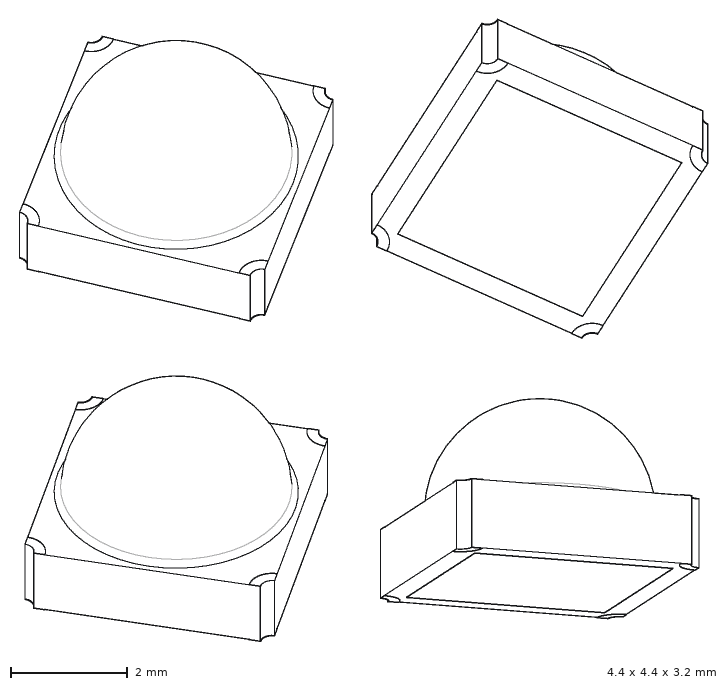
import cadquery as cq
import math

side = 4.4
base_thickness = 1.2
dome_radius = 1.99
dome_fillet = 0.11
notch_radius = 0.2
flange_radius = 0.4
plating_thickness = 0.01

base_bottom = plating_thickness
base_top = base_bottom + base_thickness
plating_height = base_thickness + 2 * plating_thickness
base_notch_radius = notch_radius + plating_thickness
pad_side = side - 2 * flange_radius
half_side = side / 2
corners = [(half_side * sx, half_side * sy) for sx in (-1, 1) for sy in (-1, 1)]


def make_base():
    """Square block with a quarter-round notch down each vertical edge, sized for the plating."""
    block = cq.Workplane("XY", origin=(0, 0, base_bottom)).rect(side, side).extrude(base_thickness)
    notches = (
        cq.Workplane("XY", origin=(0, 0, base_bottom))
        .pushPoints(corners)
        .circle(base_notch_radius)
        .extrude(base_thickness)
    )
    return block.cut(notches)


def make_corner_plating(corner):
    """Thin metal lining of one corner notch, flanged onto the top and underside of the base."""
    profile = [
        (notch_radius, 0),
        (flange_radius, 0),
        (flange_radius, base_bottom),
        (base_notch_radius, base_bottom),
        (base_notch_radius, base_top),
        (flange_radius, base_top),
        (flange_radius, plating_height),
        (notch_radius, plating_height),
    ]
    flanged_tube = (
        cq.Workplane("XZ")
        .polyline(profile)
        .close()
        .revolve(360, (0, 0), (0, 1))
        .translate((*corner, 0))
    )
    footprint = cq.Workplane("XY").rect(side, side).extrude(plating_height)
    return flanged_tube.intersect(footprint)


def make_bottom_pad():
    """Thin square pad on the underside of the base, level with the lower flanges."""
    return cq.Workplane("XY").rect(pad_side, pad_side).extrude(base_bottom)


def make_dome():
    """Hemisphere whose foot flares onto the base through a concave fillet."""
    centre_distance = dome_radius + dome_fillet
    foot_radius = math.sqrt(centre_distance**2 - dome_fillet**2)

    tangent_angle = math.asin(dome_fillet / centre_distance)
    tangent_point = (dome_radius * math.cos(tangent_angle), dome_radius * math.sin(tangent_angle))

    fillet_mid_angle = (math.pi + tangent_angle + 1.5 * math.pi) / 2
    fillet_mid = (
        foot_radius + dome_fillet * math.cos(fillet_mid_angle),
        dome_fillet + dome_fillet * math.sin(fillet_mid_angle),
    )
    dome_mid_angle = (tangent_angle + math.pi / 2) / 2
    dome_mid = (dome_radius * math.cos(dome_mid_angle), dome_radius * math.sin(dome_mid_angle))

    return (
        cq.Workplane("XZ", origin=(0, 0, base_top))
        .lineTo(foot_radius, 0)
        .threePointArc(fillet_mid, tangent_point)
        .threePointArc(dome_mid, (0, dome_radius))
        .close()
        .revolve(360, (0, 0), (0, 1))
    )


base = make_base()
dome = make_dome()
bottom_pad = make_bottom_pad()
corner_platings = [make_corner_plating(corner) for corner in corners]

result = cq.Compound.makeCompound(
    [base.val(), dome.val(), bottom_pad.val(), *[plating.val() for plating in corner_platings]]
)